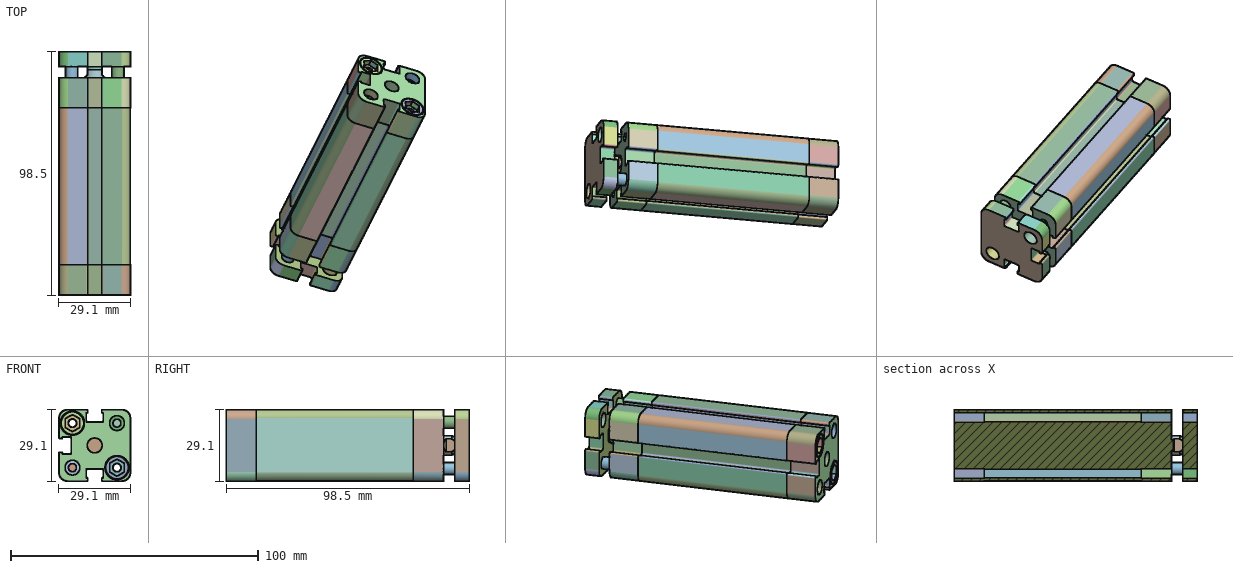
import cadquery as cq
import math

total_length = 98.5
plate_thickness = 6.0
rod_gap = 4.4
cap_length = 12.2
body_length = total_length - plate_thickness - rod_gap
plate_start = body_length + rod_gap

cap_width = 29.1
cap_corner_radius = 3.7
tube_width = 29.0
tube_corner_radius = 3.4

slot_opening = 5.5
cap_slot_width = 7.0
tube_slot_width = 6.8
lip_thickness = 1.3
ledge_radius = 0.5
cap_slot_depth = 5.1
tube_slot_depth = 4.9
slot_floor_radius = 0.5
cap_lip_radius = 0.6
tube_lip_radius = 0.5
slot_turns = (0, 90, 180)

screw_spacing = 18.0
screw_offset = screw_spacing / 2
counterbore_diameter = 9.8
head_diameter = 9.2
head_gap_depth = 3.9
socket_across_flats = 6.0
socket_depth = 2.5
bore_diameter = 3.25
corner_hole_diameter = 6.0
corner_hole_depth = 3.4
pilot_depth = cap_length
centre_hole_diameter = 6.0
centre_hole_depth = 5.9

guide_rod_diameter = 5.0
guide_rod_offset = 9.4
plate_hole_diameter = 6.0
piston_rod_diameter = 8.0
piston_flat_width = 6.0
piston_flat_slope = (piston_rod_diameter - piston_flat_width) / 2
piston_tip_chamfer = 0.5
piston_tip_length = 1.2

ARC_BULGE = 1 - math.sqrt(0.5)

screw_corners = [(-screw_offset, screw_offset), (screw_offset, -screw_offset)]
plain_corners = [(screw_offset, screw_offset), (-screw_offset, -screw_offset)]
guide_corners = [(guide_rod_offset, guide_rod_offset), (-guide_rod_offset, -guide_rod_offset)]


def section_plane(y):
    """Plane across the part at y; extruding from it by a positive length goes towards -Y."""
    return cq.Workplane("XZ", origin=(0, y, 0))


def cylinders(points, diameter, y_start, y_end):
    return section_plane(y_end).pushPoints(points).circle(diameter / 2).extrude(y_end - y_start)


def slot_cutter(surface, width, depth, lip_radius, y_start, y_end):
    """T-slot open at z = surface, with rounded lips, ledge corners and floor corners."""
    half_opening = slot_opening / 2
    half_width = width / 2
    floor = surface - depth
    ledge = surface - lip_thickness
    lip_bulge = lip_radius * ARC_BULGE
    ledge_bulge = ledge_radius * ARC_BULGE
    floor_bulge = slot_floor_radius * ARC_BULGE
    half_outline = (
        section_plane(y_end)
        .moveTo(0, surface)
        .lineTo(half_opening + lip_radius, surface)
        .threePointArc((half_opening + lip_bulge, surface - lip_bulge), (half_opening, surface - lip_radius))
        .lineTo(half_opening, ledge)
        .lineTo(half_width - ledge_radius, ledge)
        .threePointArc((half_width - ledge_bulge, ledge - ledge_bulge), (half_width, ledge - ledge_radius))
        .lineTo(half_width, floor + slot_floor_radius)
        .threePointArc((half_width - floor_bulge, floor + floor_bulge), (half_width - slot_floor_radius, floor))
        .lineTo(0, floor)
        .close()
    )
    half_slot = half_outline.extrude(y_end - y_start)
    return half_slot.union(half_slot.mirror("YZ")).clean()


def slotted_block(width, corner_radius, slot_width, slot_depth, lip_radius, y_start, y_end):
    block = section_plane(y_end).rect(width, width).extrude(y_end - y_start)
    block = block.edges("|Y").fillet(corner_radius)
    cutter = slot_cutter(width / 2, slot_width, slot_depth, lip_radius, y_start, y_end)
    for turn in slot_turns:
        block = block.cut(cutter.rotate((0, 0, 0), (0, -1, 0), turn))
    return block


def cap_block(y_start, y_end):
    return slotted_block(
        cap_width, cap_corner_radius, cap_slot_width, cap_slot_depth, cap_lip_radius, y_start, y_end
    )


def piston_rod():
    """Rod with two flats facing -X and +X, sloped out at the body and chamfered at the plate."""
    rod = cylinders([(0, 0)], piston_rod_diameter, body_length, plate_start)
    rod = rod.faces(">Y").chamfer(piston_tip_length, piston_tip_chamfer)
    half_rod = piston_rod_diameter / 2
    half_flat = piston_flat_width / 2
    flats = (
        cq.Workplane("XY", origin=(0, 0, -half_rod))
        .polyline([
            (-half_rod, body_length),
            (half_rod, body_length),
            (half_flat, body_length + piston_flat_slope),
            (half_flat, plate_start),
            (-half_flat, plate_start),
            (-half_flat, body_length + piston_flat_slope),
        ])
        .close()
        .extrude(piston_rod_diameter)
    )
    return rod.intersect(flats)


front_cap = cap_block(0, cap_length)
rear_cap = cap_block(body_length - cap_length, body_length)
tube = slotted_block(
    tube_width,
    tube_corner_radius,
    tube_slot_width,
    tube_slot_depth,
    tube_lip_radius,
    cap_length,
    body_length - cap_length,
)
body = front_cap.union(tube).union(rear_cap)

ring_gap = cylinders(screw_corners, counterbore_diameter, 0, head_gap_depth).cut(
    cylinders(screw_corners, head_diameter, 0, head_gap_depth)
)
socket_radius = socket_across_flats / 2 / math.cos(math.pi / 6)
socket_points = [
    (socket_radius * math.sin(turn), socket_radius * math.cos(turn))
    for turn in (side * math.pi / 3 for side in range(6))
]
body = body.cut(ring_gap).cut(cylinders(screw_corners, bore_diameter, 0, body_length))
for x, z in screw_corners:
    socket = section_plane(socket_depth).center(x, z).polyline(socket_points).close().extrude(socket_depth)
    body = body.cut(socket)

body = body.cut(cylinders(plain_corners, corner_hole_diameter, 0, corner_hole_depth))
body = body.cut(cylinders(plain_corners, bore_diameter, 0, pilot_depth))
body = body.cut(cylinders([(0, 0)], centre_hole_diameter, 0, centre_hole_depth))

plate = cap_block(plate_start, total_length)
plate = plate.cut(cylinders(screw_corners, plate_hole_diameter, plate_start, total_length))

guide_rods = cylinders(guide_corners, guide_rod_diameter, body_length, plate_start)
result = body.union(guide_rods).union(piston_rod()).union(plate)